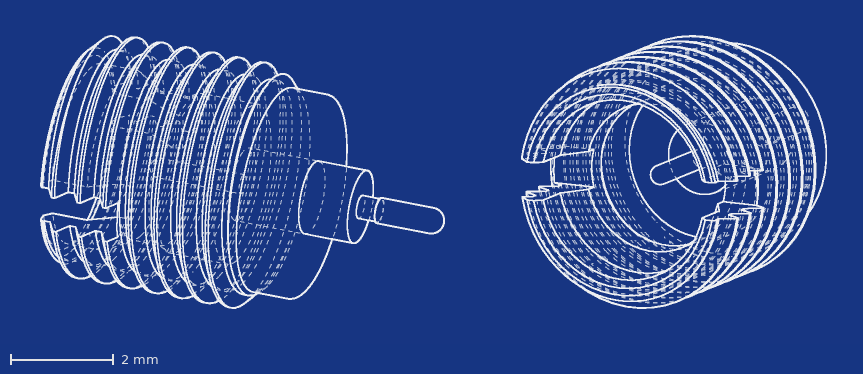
import cadquery as cq
import math


housing_length = 4.88
thread_length = 4.07
collar_radius = 4.06 / 2
collar_edge_radius = 0.09
crest_radius = 4.83 / 2
root_radius = 4.23 / 2
mouth_face_radius = 2.07

pitch = 0.53
crest_flat = 0.06
flank_angle = math.radians(30)
ridge_embed = 0.04
trim_clearance = 0.1
first_crest_x = 0.53
thread_start_x = first_crest_x - 2 * pitch
thread_turns = 10

mouth_chamfer = 0.14
mouth_radius = 1.79
mouth_depth = 0.85
throat_start = 1.41
throat_end = 2.035
throat_radius = 2.95 / 2
cavity_start = 2.255
cavity_radius = 3.18 / 2
floor_x = 3.43

slot_depth = 1.64
slot_width = 0.755

bead_radius = 1.45 / 2
bead_end = 5.89
tip_x = 1.52
tip_radius = 0.38 / 2
neck_radius = 0.46 / 2
neck_end = 6.28
tail_radius = 0.51 / 2
tail_end = 7.62


def x_cylinder(start, end, radius):
    """Solid cylinder on the X axis between two X positions."""
    return cq.Workplane("YZ", origin=(start, 0, 0)).circle(radius).extrude(end - start)


def revolve_about_x(points):
    """Solid of revolution from an (x, radius) outline."""
    return cq.Workplane("XY").polyline(points).close().revolve(360, (0, 0, 0), (1, 0, 0))


def make_thread_ridge():
    """Helical ridge, built around Z from four ruled faces and then turned onto the X axis."""
    base_radius = root_radius - ridge_embed
    half_crest = crest_flat / 2
    half_base = half_crest + (crest_radius - base_radius) * math.tan(flank_angle)
    section = [
        (base_radius, -half_base),
        (crest_radius, -half_crest),
        (crest_radius, half_crest),
        (base_radius, half_base),
    ]
    helices = [
        cq.Wire.makeHelix(pitch, thread_turns * pitch, radius, cq.Vector(0, 0, offset))
        for radius, offset in section
    ]
    faces = [
        cq.Face.makeRuledSurface(helix, following)
        for helix, following in zip(helices, helices[1:] + helices[:1])
    ]
    start_corners = [helix.startPoint() for helix in helices]
    end_corners = [helix.endPoint() for helix in helices]
    for corners in (start_corners, end_corners):
        faces.append(cq.Face.makeFromWires(cq.Wire.makePolygon(corners, close=True)))
    ridge = cq.Workplane(cq.Solid.makeSolid(cq.Shell.makeShell(faces)))
    return ridge.rotate((0, 0, 0), (0, 1, 0), 90).translate((thread_start_x, 0, 0))


def make_threaded_barrel():
    """Threaded rod longer than the barrel, trimmed by a 45 degree cone at each end."""
    trim_radius = crest_radius + trim_clearance
    front_run = trim_radius - mouth_face_radius
    rear_run = trim_radius - collar_radius
    envelope = revolve_about_x([
        (0, 0),
        (0, mouth_face_radius),
        (front_run, trim_radius),
        (thread_length - rear_run, trim_radius),
        (thread_length, collar_radius),
        (thread_length, 0),
    ])
    rod_start = thread_start_x - pitch
    rod_end = thread_start_x + (thread_turns + 1) * pitch
    rod = x_cylinder(rod_start, rod_end, root_radius).union(make_thread_ridge())
    return rod.intersect(envelope)


def make_bore():
    """Chamfered mouth tapering to a throat, which opens into the rear cavity."""
    return revolve_about_x([
        (0, 0),
        (0, mouth_radius + mouth_chamfer),
        (mouth_chamfer, mouth_radius),
        (mouth_depth, mouth_radius),
        (throat_start, throat_radius),
        (throat_end, throat_radius),
        (cavity_start, cavity_radius),
        (floor_x, cavity_radius),
        (floor_x, 0),
    ])


def make_housing():
    collar = x_cylinder(thread_length, housing_length, collar_radius)
    collar = collar.faces(">X").edges().fillet(collar_edge_radius)
    slot = cq.Workplane("XY").box(
        slot_depth, 2 * crest_radius, slot_width, centered=(False, True, True)
    )
    bead_hole = x_cylinder(floor_x, housing_length, bead_radius)
    return make_threaded_barrel().union(collar).cut(make_bore()).cut(slot).cut(bead_hole)


def domed_pin(base_x, end_x, radius):
    """Cylinder from base_x towards end_x, closed there by a hemisphere."""
    dome_x = end_x - math.copysign(radius, end_x - base_x)
    dome = cq.Workplane("XY").sphere(radius).translate((dome_x, 0, 0))
    return x_cylinder(base_x, dome_x, radius).union(dome)


def make_contact():
    bead = x_cylinder(floor_x, bead_end, bead_radius)
    tip = domed_pin(floor_x, tip_x, tip_radius)
    neck = x_cylinder(bead_end, neck_end, neck_radius)
    tail = domed_pin(neck_end, tail_end, tail_radius)
    return bead.union(tip).union(neck).union(tail)


housing = make_housing()
contact = make_contact()
result = cq.Compound.makeCompound([housing.val(), contact.val()])